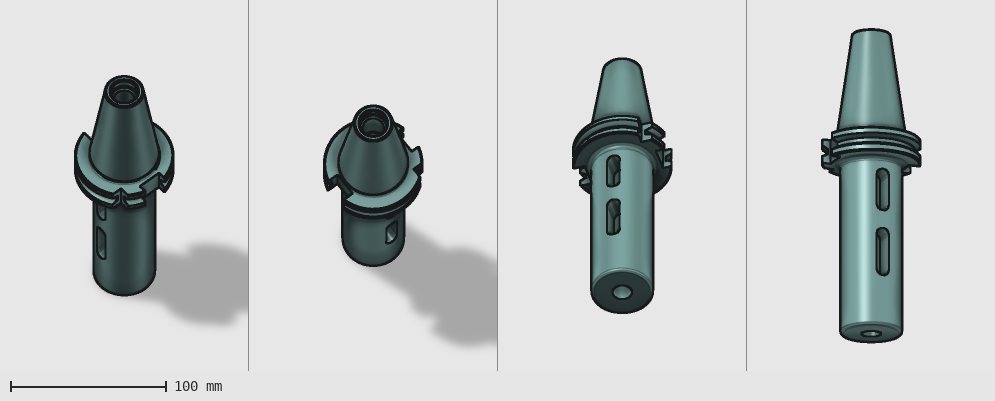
import cadquery as cq
import math

total_length = 201.5
taper_length = 68.5
gauge_z = total_length - taper_length
gauge_to_flange = 3.2
flange_thickness = 16.0
gauge_to_groove = 11.0
flange_top_z = gauge_z - gauge_to_flange
flange_bottom_z = flange_top_z - flange_thickness
groove_z = gauge_z - gauge_to_groove

gauge_radius = 22.4
taper_slope = 7 / 48
tip_radius = gauge_radius - taper_length * taper_slope
tip_chamfer = 0.8

relief_radius = 22.0
relief_bevel = 0.5
gauge_to_relief = 0.6
relief_top_z = gauge_z - gauge_to_relief
relief_fillet = 1.0

flange_diameter = 63.5
flange_radius = flange_diameter / 2
flange_chamfer = 0.8
groove_root_radius = 28.0
groove_root_width = 3.0
groove_half_angle = 30.0

keyway_width = 16.1
left_keyway_floor = 22.8
right_keyway_floor = 25.0
notch_offset = 18.5

shank_radius = 20.0
shank_root_fillet = 3.0
shank_end_fillet = 2.0

bore_radius = 6.2
counterbore_radius = 8.5
counterbore_depth = 8.0
counterbore_chamfer = 1.0
seat_depth = 1.0
thread_radius = 6.8
thread_depth = 24.2
undercut_radius = 8.9
undercut_width = 1.6

slot_width = 8.5
slot_spans = [(33.8, 65.5), (77.5, 105.3)]


def revolve_profile(profile):
    """Revolve a closed radius-height profile about the Z axis."""
    return profile.close().revolve(360, (0, 0, 0), (0, 1, 0))


def make_body():
    """Turned outside: shank, flange with V-groove, relief groove and steep taper."""
    half_root = groove_root_width / 2
    groove_flank = (flange_radius - groove_root_radius) * math.tan(math.radians(groove_half_angle))
    half_mouth = half_root + groove_flank
    rim_radius = flange_radius - flange_chamfer
    taper_base_radius = gauge_radius + gauge_to_relief * taper_slope
    root_start_z = flange_bottom_z - shank_root_fillet
    return revolve_profile(
        cq.Workplane("XZ")
        .moveTo(0, 0)
        .lineTo(shank_radius - shank_end_fillet, 0)
        .radiusArc((shank_radius, shank_end_fillet), -shank_end_fillet)
        .lineTo(shank_radius, root_start_z)
        .radiusArc((shank_radius + shank_root_fillet, flange_bottom_z), shank_root_fillet)
        .lineTo(rim_radius, flange_bottom_z)
        .lineTo(flange_radius, flange_bottom_z + flange_chamfer)
        .lineTo(flange_radius, groove_z - half_mouth)
        .lineTo(groove_root_radius, groove_z - half_root)
        .lineTo(groove_root_radius, groove_z + half_root)
        .lineTo(flange_radius, groove_z + half_mouth)
        .lineTo(flange_radius, flange_top_z - flange_chamfer)
        .lineTo(rim_radius, flange_top_z)
        .lineTo(relief_radius + relief_fillet, flange_top_z)
        .radiusArc((relief_radius, flange_top_z + relief_fillet), relief_fillet)
        .lineTo(relief_radius, relief_top_z - relief_bevel)
        .lineTo(taper_base_radius, relief_top_z)
        .lineTo(tip_radius + tip_chamfer * taper_slope, total_length - tip_chamfer)
        .lineTo(tip_radius - tip_chamfer, total_length)
        .lineTo(0, total_length)
    )


def make_bore():
    """Through bore widening to a thread core and a chamfered, undercut counterbore at the tip."""
    floor_z = total_length - counterbore_depth
    thread_end_z = floor_z - thread_depth
    return revolve_profile(
        cq.Workplane("XZ")
        .moveTo(0, 0)
        .lineTo(bore_radius, 0)
        .lineTo(bore_radius, thread_end_z)
        .lineTo(thread_radius, thread_end_z)
        .lineTo(thread_radius, floor_z - seat_depth)
        .lineTo(counterbore_radius, floor_z)
        .lineTo(undercut_radius, floor_z)
        .lineTo(undercut_radius, floor_z + undercut_width)
        .lineTo(counterbore_radius, floor_z + undercut_width)
        .lineTo(counterbore_radius, total_length - counterbore_chamfer)
        .lineTo(counterbore_radius + counterbore_chamfer, total_length)
        .lineTo(0, total_length)
    )


def flange_cutter(x_min, x_max, y_min, y_max):
    """Block spanning the full flange thickness."""
    return cq.Workplane("XY").box(
        x_max - x_min, y_max - y_min, flange_thickness, centered=False
    ).translate((x_min, y_min, flange_bottom_z))


def make_cross_slot(bottom_z, top_z):
    """Round-ended slot running through the shank along Y."""
    return (
        cq.Workplane("XZ")
        .center(0, (bottom_z + top_z) / 2)
        .slot2D(top_z - bottom_z, slot_width, 90)
        .extrude(shank_radius, both=True)
    )


half_key = keyway_width / 2
left_keyway = flange_cutter(-flange_radius, -left_keyway_floor, -half_key, half_key)
right_keyway = flange_cutter(right_keyway_floor, flange_radius, -half_key, half_key)
notch = flange_cutter(notch_offset, flange_radius, -flange_radius, -notch_offset)

result = make_body().cut(make_bore()).cut(left_keyway).cut(right_keyway).cut(notch)
for slot_bottom_z, slot_top_z in slot_spans:
    result = result.cut(make_cross_slot(slot_bottom_z, slot_top_z))